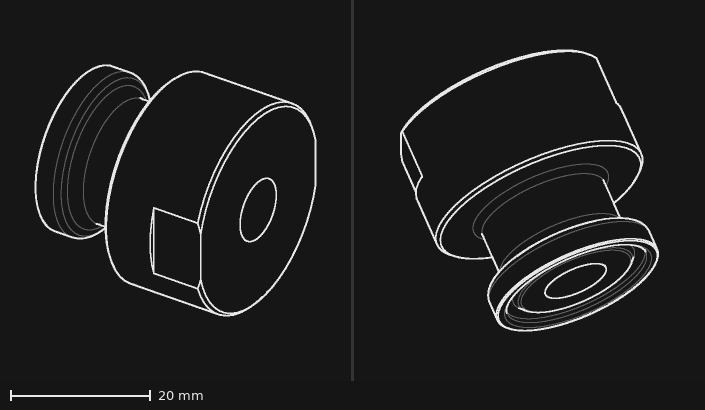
import cadquery as cq
import math

total_length = 30.0
body_start = 14.0
flat_start = 22.0
rim_end = 3.15

body_radius = 16.0
rim_radius = 12.5
neck_radius = 9.5
bore_radius = 4.75

body_chamfer = 0.5
rim_chamfer = 0.2
rim_round = 1.0
rim_neck_fillet = 2.0
body_neck_fillet = 1.0
flat_spacing = 30.0
clamp_slope = 20.0

lip_radius = 11.35
groove_outer_radius = 10.85
floor_start = 1.15
floor_inner_radius = 9.45
inner_wall_slope = 40.0
bevel_top_radius = 8.85
disc_radius = 8.48


def add_arc(profile, center, radius, start_angle, end_angle):
    """Continue a profile from the current point along a circular arc, angles in degrees."""
    def point_at(angle):
        turn = math.radians(angle)
        return (center[0] + radius * math.cos(turn), center[1] + radius * math.sin(turn))

    middle_angle = (start_angle + end_angle) / 2
    return profile.threePointArc(point_at(middle_angle), point_at(end_angle))


def make_turned_body():
    """Solid of revolution with a clamp rim, a neck and a chamfered body."""
    slope = math.radians(clamp_slope)
    rim_center = (rim_end, rim_radius - rim_round)
    neck_center_radius = neck_radius + rim_neck_fillet
    center_drop = rim_center[1] - neck_center_radius
    neck_center_x = rim_end + (rim_round + rim_neck_fillet) / math.cos(slope) + center_drop * math.tan(slope)
    slope_end = (
        neck_center_x - rim_neck_fillet * math.cos(slope),
        neck_center_radius - rim_neck_fillet * math.sin(slope),
    )

    profile = (
        cq.Workplane("XY")
        .moveTo(0, 0)
        .lineTo(0, rim_radius - rim_chamfer)
        .lineTo(rim_chamfer, rim_radius)
        .lineTo(rim_end, rim_radius)
    )
    profile = add_arc(profile, rim_center, rim_round, 90, clamp_slope)
    profile = profile.lineTo(*slope_end)
    profile = add_arc(
        profile, (neck_center_x, neck_center_radius), rim_neck_fillet, 180 + clamp_slope, 270
    )
    profile = profile.lineTo(body_start - body_neck_fillet, neck_radius)
    body_fillet_center = (body_start - body_neck_fillet, neck_radius + body_neck_fillet)
    profile = add_arc(profile, body_fillet_center, body_neck_fillet, -90, 0)
    profile = (
        profile.lineTo(body_start, body_radius - body_chamfer)
        .lineTo(body_start + body_chamfer, body_radius)
        .lineTo(total_length - body_chamfer, body_radius)
        .lineTo(total_length, body_radius - body_chamfer)
        .lineTo(total_length, 0)
        .close()
    )
    return profile.revolve(360, (0, 0, 0), (1, 0, 0))


def make_face_recess():
    """Gasket groove together with the shallow recess over the central disc."""
    inner = math.radians(inner_wall_slope)

    lip_round = lip_radius - groove_outer_radius
    floor_round = (groove_outer_radius - floor_inner_radius) / (1 + math.cos(inner))
    floor_center = (floor_start, groove_outer_radius - floor_round)
    floor_end_x = floor_center[0] + floor_round * math.sin(inner)
    bevel_top_x = floor_end_x - (floor_inner_radius - bevel_top_radius) / math.tan(inner)
    disc_round = (bevel_top_radius - disc_radius) / math.cos(inner)
    disc_round_center = (bevel_top_x + disc_round * math.sin(inner), disc_radius)
    disc_x = disc_round_center[0] - disc_round

    profile = cq.Workplane("XY").moveTo(0, 0).lineTo(0, lip_radius)
    profile = add_arc(profile, (lip_round, lip_radius), lip_round, 180, 270)
    profile = profile.lineTo(floor_start, groove_outer_radius)
    profile = add_arc(profile, floor_center, floor_round, 90, inner_wall_slope - 90)
    profile = profile.lineTo(bevel_top_x, bevel_top_radius)
    profile = add_arc(profile, disc_round_center, disc_round, 90 + inner_wall_slope, 180)
    profile = profile.lineTo(disc_x, 0).close()
    return profile.revolve(360, (0, 0, 0), (1, 0, 0))


def cut_wrench_flats(part):
    """Two parallel flats facing -Y and +Y at the far end of the body."""
    flat_length = total_length - flat_start
    flat_depth = body_radius - flat_spacing / 2
    for side in (-1, 1):
        cutter = cq.Workplane("XY").box(flat_length, flat_depth, 2 * body_radius)
        cutter_y = side * (flat_spacing + flat_depth) / 2
        part = part.cut(cutter.translate((flat_start + flat_length / 2, cutter_y, 0)))
    return part


bore = cq.Workplane("YZ").circle(bore_radius).extrude(total_length)
turned_part = make_turned_body().cut(make_face_recess()).cut(bore)
result = cut_wrench_flats(turned_part)